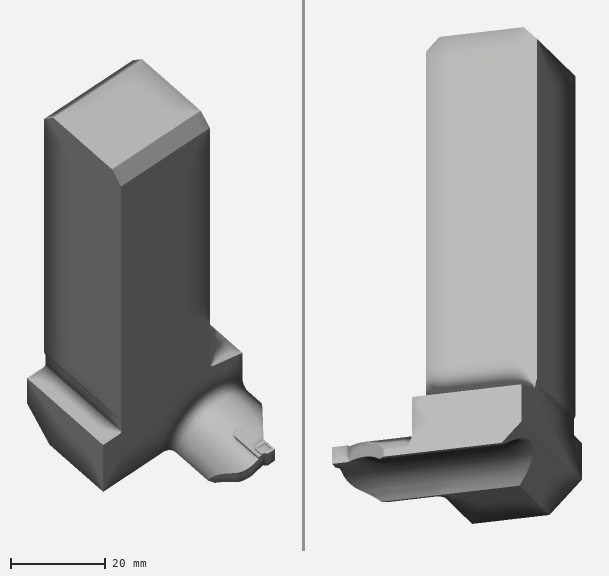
import cadquery as cq

SHANK = 25.0
SHANK_FRONT = 5.1
SHANK_BACK = SHANK_FRONT + SHANK
SHANK_BASE = 19.7
TOTAL_HEIGHT = 99.4
TOP_CHAMFER = 3.0

HEAD_DEPTH = 39.2
SIDE_RECESS = 0.3
FRONT_RECESS = 0.1
RELIEF_HEIGHT = 1.3
FRONT_RELIEF_HEIGHT = 0.5
SHOULDER_HEIGHT = 15.4
SHOULDER_FILLET = 0.6
BACK_SLOPE_TOP = 17.5
BACK_FILLET = 1.5
HEAD_CHAMFER_X = 7.3
HEAD_CHAMFER_Z = 7.1

CURVE_Y = 29.9
BLADE_RADIUS = 11.2
BLADE_TOP = 9.2
ARCH_RADIUS = 12.1
ARCH_TOP = 5.9
ARCH_FLAT_Z = 2.7
BLADE_ROOT_FILLET = 1.8
BLADE_END = 45.2

BACK_BEVEL_X = 31.3
BACK_BEVEL_END_X = 42.4
FRONT_BEVEL_X = 36.8
FRONT_BEVEL_Y = 18.7
NOSE_START = (42.8, 21.5)
NOSE_MIDDLE = (44.5, 23.0)
NOSE_END_Y = 25.4

INSERT_BACK_X = 36.7
INSERT_FRONT_Y = 26.15
INSERT_BACK_Y = 30.0
INSERT_CORNER = 0.8
TIP_END = 46.0
TIP_WIDTH = 2.0
TIP_TAPER = 0.6
PAD_X = 42.6
PAD_FRONT_Y = 26.9
PAD_TOP = 9.6
PAD_CORNER = 0.6
CHIP_DISH_X = 43.4
CHIP_DISH_LENGTH = 2.0
CHIP_DISH_FRONT_Y = 27.2
CHIP_DISH_WIDTH = 2.3
CHIP_DISH_DEPTH = 0.2


def x_cylinder(radius, top, start, length):
    """Cylinder along X whose crest is at the given height."""
    section = cq.Workplane("YZ", origin=(start, 0, 0)).center(CURVE_Y, top - radius)
    return section.circle(radius).extrude(length)


def make_shank():
    outline = cq.Workplane("XZ").rect(SHANK, TOTAL_HEIGHT - SHANK_BASE).extrude(-SHANK)
    shank = outline.translate((SHANK / 2, SHANK_FRONT, (TOTAL_HEIGHT + SHANK_BASE) / 2))
    return shank.faces(">Z").edges("|Y").chamfer(TOP_CHAMFER)


def make_head():
    neck_front = SHANK_FRONT + FRONT_RECESS
    slope_start = SHANK_BACK + BACK_FILLET / 2
    side = (
        cq.Workplane("YZ")
        .moveTo(0, 0)
        .lineTo(HEAD_DEPTH, 0)
        .lineTo(HEAD_DEPTH, SHOULDER_HEIGHT)
        .lineTo(slope_start, BACK_SLOPE_TOP)
        .lineTo(SHANK_BACK, BACK_SLOPE_TOP + BACK_FILLET / 2)
        .lineTo(SHANK_BACK, SHANK_BASE)
        .lineTo(SHANK_FRONT, SHANK_BASE)
        .lineTo(neck_front, SHANK_BASE - FRONT_RELIEF_HEIGHT)
        .lineTo(neck_front, SHOULDER_HEIGHT + SHOULDER_FILLET)
        .radiusArc((neck_front - SHOULDER_FILLET, SHOULDER_HEIGHT), SHOULDER_FILLET)
        .lineTo(0, SHOULDER_HEIGHT)
        .close()
        .extrude(SHANK)
    )
    runout_radius = (RELIEF_HEIGHT**2 + SIDE_RECESS**2) / (2 * SIDE_RECESS)
    front = (
        cq.Workplane("XZ")
        .moveTo(SIDE_RECESS + HEAD_CHAMFER_X, 0)
        .lineTo(SHANK, 0)
        .lineTo(SHANK, SHANK_BASE)
        .lineTo(0, SHANK_BASE)
        .radiusArc((SIDE_RECESS, SHANK_BASE - RELIEF_HEIGHT), runout_radius)
        .lineTo(SIDE_RECESS, HEAD_CHAMFER_Z)
        .close()
        .extrude(-HEAD_DEPTH)
    )
    return side.intersect(front)


def make_blade():
    """Blade with a concave flare at its root, trimmed to its plan outline."""
    bar = x_cylinder(BLADE_RADIUS, BLADE_TOP, SHANK, TIP_END - SHANK)
    axis_z = BLADE_TOP - BLADE_RADIUS
    flare_radius = BLADE_RADIUS + BLADE_ROOT_FILLET
    flare = (
        cq.Workplane("XY", origin=(0, CURVE_Y, axis_z))
        .moveTo(SHANK, 0)
        .lineTo(SHANK, flare_radius)
        .radiusArc((SHANK + BLADE_ROOT_FILLET, BLADE_RADIUS), -BLADE_ROOT_FILLET)
        .lineTo(SHANK + BLADE_ROOT_FILLET, 0)
        .close()
        .revolve(360, (0, 0, 0), (1, 0, 0))
    )
    plan = (
        cq.Workplane("XY")
        .moveTo(SHANK, 0)
        .lineTo(SHANK, HEAD_DEPTH)
        .lineTo(BACK_BEVEL_X, HEAD_DEPTH)
        .lineTo(BACK_BEVEL_END_X, INSERT_BACK_Y)
        .lineTo(BLADE_END, INSERT_BACK_Y)
        .lineTo(BLADE_END, NOSE_END_Y)
        .threePointArc(NOSE_MIDDLE, NOSE_START)
        .lineTo(FRONT_BEVEL_X, FRONT_BEVEL_Y)
        .lineTo(FRONT_BEVEL_X, 0)
        .close()
        .extrude(SHOULDER_HEIGHT)
    )
    return bar.union(flare).intersect(plan)


def make_arch():
    """Passage below the blade and head, ending in a flat at the back."""
    arch = x_cylinder(ARCH_RADIUS, ARCH_TOP, 0, TIP_END)
    back_gap = cq.Workplane("XY").box(
        TIP_END, HEAD_DEPTH - CURVE_Y, ARCH_FLAT_Z, centered=False
    )
    return arch.union(back_gap.translate((0, CURVE_Y, 0)))


def make_insert():
    """Flat insert reaching down to the arch, with a raised and dished cutting pad."""
    tip_front = INSERT_BACK_Y - TIP_WIDTH
    tip_outline = [
        (TIP_END, INSERT_BACK_Y),
        (TIP_END, tip_front),
        (BLADE_END, tip_front - TIP_TAPER),
    ]
    body_outline = tip_outline + [
        (BLADE_END, INSERT_FRONT_Y),
        (INSERT_BACK_X + INSERT_CORNER, INSERT_FRONT_Y),
        (INSERT_BACK_X, INSERT_FRONT_Y + INSERT_CORNER),
        (INSERT_BACK_X, INSERT_BACK_Y - INSERT_CORNER),
        (INSERT_BACK_X + INSERT_CORNER, INSERT_BACK_Y),
    ]
    pad_outline = tip_outline + [
        (BLADE_END, PAD_FRONT_Y),
        (PAD_X + PAD_CORNER, PAD_FRONT_Y),
        (PAD_X, PAD_FRONT_Y + PAD_CORNER),
        (PAD_X, INSERT_BACK_Y),
    ]
    body = cq.Workplane("XY").polyline(body_outline).close().extrude(BLADE_TOP)
    pad = cq.Workplane("XY").polyline(pad_outline).close().extrude(PAD_TOP)
    dish = cq.Workplane("XY").box(
        CHIP_DISH_LENGTH, CHIP_DISH_WIDTH, CHIP_DISH_DEPTH, centered=False
    )
    dish = dish.translate((CHIP_DISH_X, CHIP_DISH_FRONT_Y, PAD_TOP - CHIP_DISH_DEPTH))
    return body.union(pad).cut(dish).cut(make_arch())


insert = make_insert()
holder = make_shank().union(make_head()).union(make_blade()).cut(make_arch()).cut(insert)

result = cq.Compound.makeCompound([holder.solids().val(), insert.solids().val()])